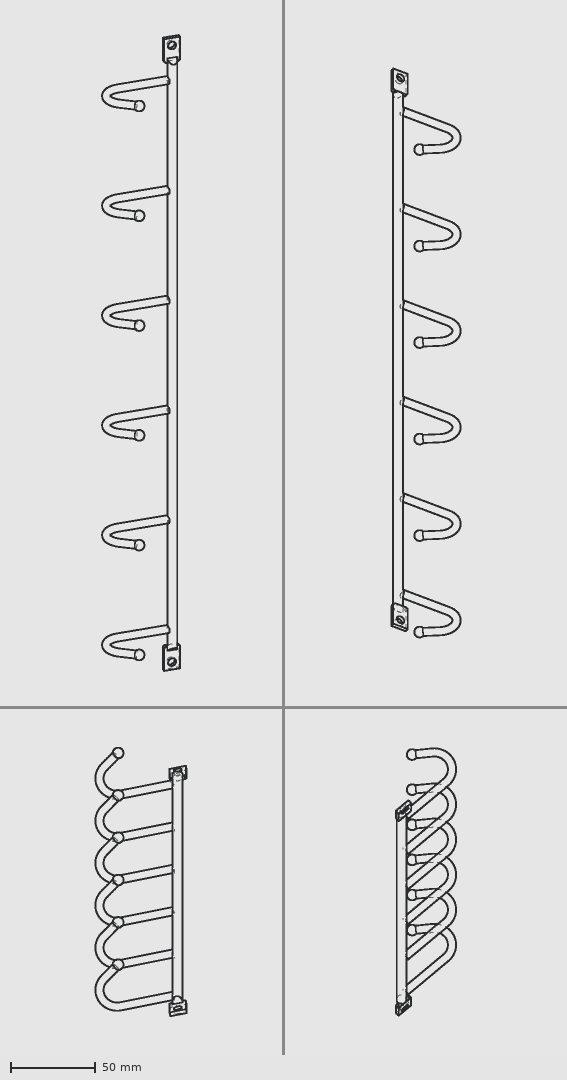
import cadquery as cq
import math

total_height = 420.0
rod_radius = 3.0

tab_length = 16.0
tab_width = 10.0
tab_thickness = 2.5
tab_corner_chamfer = 1.0
hole_diameter = 5.0
hole_edge_distance = 5.0
rod_tab_overlap = 3.0

hook_count = 6
hook_spacing = 73.0
wire_radius = 2.5
arm_start_y = -2.5
bend_center_y = -34.5
bend_radius = 10.5
bend_angle = 145.0
tip_length = 12.1
ball_radius = 3.25

half_height = total_height / 2
tab_inner_z = half_height - tab_length


def make_rod():
    """Round rod whose ends slope down from the tab face to the far side of the rod."""
    rod_end_z = tab_inner_z + rod_tab_overlap
    rod = cq.Workplane("XY").center(rod_radius, 0).circle(rod_radius).extrude(rod_end_z, both=True)
    profile = (
        cq.Workplane("XZ")
        .moveTo(0, rod_end_z)
        .lineTo(tab_thickness, rod_end_z)
        .lineTo(2 * rod_radius, tab_inner_z)
        .lineTo(2 * rod_radius, -tab_inner_z)
        .lineTo(tab_thickness, -rod_end_z)
        .lineTo(0, -rod_end_z)
        .close()
        .extrude(rod_radius, both=True)
    )
    return rod.intersect(profile)


def make_top_tab():
    """Flat tab with its two rod-side corners chamfered and one screw hole."""
    hole_z = half_height - hole_edge_distance
    tab = (
        cq.Workplane("YZ")
        .center(0, half_height - tab_length / 2)
        .rect(tab_width, tab_length)
        .extrude(tab_thickness)
        .faces("<Z")
        .edges("|X")
        .chamfer(tab_corner_chamfer)
    )
    hole = cq.Workplane("YZ").center(0, hole_z).circle(hole_diameter / 2).extrude(tab_thickness)
    return tab.cut(hole)


def make_hook():
    """Wire hook centred on the plane Z = 0: straight arm, bend, straight tip and end ball."""
    bend_center_x = wire_radius + bend_radius

    def bend_point(turned_degrees):
        """Point on the bend centreline after turning away from the straight arm."""
        angle = math.radians(180 + turned_degrees)
        x = bend_center_x + bend_radius * math.cos(angle)
        y = bend_center_y + bend_radius * math.sin(angle)
        return x, y

    bend_end = bend_point(bend_angle)
    tip_direction = math.radians(bend_angle - 90)
    ball_x = bend_end[0] + tip_length * math.cos(tip_direction)
    ball_y = bend_end[1] + tip_length * math.sin(tip_direction)

    path = (
        cq.Workplane("XY")
        .moveTo(wire_radius, arm_start_y)
        .lineTo(wire_radius, bend_center_y)
        .threePointArc(bend_point(bend_angle / 2), bend_end)
        .lineTo(ball_x, ball_y)
    )
    wire = (
        cq.Workplane("XZ", origin=(wire_radius, arm_start_y, 0))
        .circle(wire_radius)
        .sweep(path)
    )
    ball = cq.Workplane("XY").sphere(ball_radius).translate((ball_x, ball_y, 0))
    return wire.union(ball)


top_tab = make_top_tab()
bottom_tab = top_tab.mirror("XY")
result = make_rod().union(top_tab).union(bottom_tab)

hook = make_hook()
for index in range(hook_count):
    hook_z = (index - (hook_count - 1) / 2) * hook_spacing
    result = result.union(hook.translate((0, 0, hook_z)))